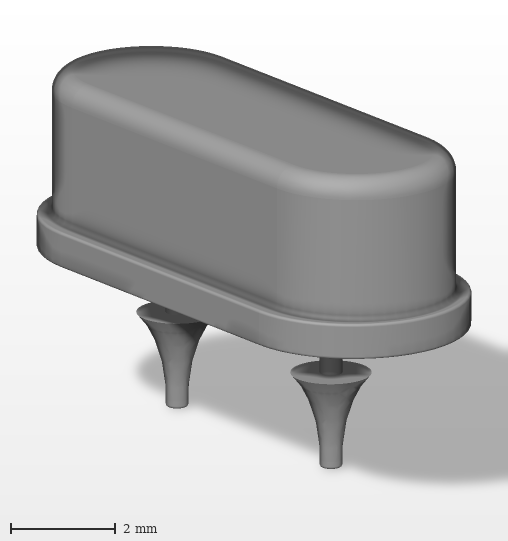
import cadquery as cq

flange_length = 10.8
flange_width = 4.5
flange_height = 0.7
flange_edge_radius = 0.05

can_length = 10.3
can_width = 3.8
can_height = 2.8
can_top_radius = 0.4
can_foot_radius = 0.1

pin_spacing = 4.88
pin_radius = 0.22
pin_length = 3.0
pin_tip_radius = 0.05

flare_top_depth = 1.12
flare_top_radius = 0.78
flare_waist_depth = 1.8
flare_waist_radius = 0.38
flare_bottom_depth = 2.85


def stadium(length, width, height):
    """Upright block with fully rounded ends, standing on the plane Z = 0."""
    return cq.Workplane("XY").slot2D(length, width).extrude(height)


def make_flange():
    """Base plate with slightly rounded top and bottom rims."""
    plate = stadium(flange_length, flange_width, flange_height)
    return plate.faces("<Z or >Z").edges().fillet(flange_edge_radius)


def make_can():
    """Cover with a rounded top rim, resting on the flange."""
    cover = stadium(can_length, can_width, can_height)
    cover = cover.faces(">Z").edges().fillet(can_top_radius)
    return cover.translate((0, 0, flange_height))


def blend_can_foot(body):
    """Concave fillet all round where the can wall meets the flange."""
    margin = can_foot_radius / 2
    half_length = can_length / 2 + margin
    half_width = can_width / 2 + margin
    foot_edges = cq.selectors.BoxSelector(
        (-half_length, -half_width, flange_height - margin),
        (half_length, half_width, flange_height + margin),
        boundingbox=True,
    )
    return body.edges(foot_edges).fillet(can_foot_radius)


def make_pin(x):
    """Round pin with its flare, on a vertical axis at the given X."""
    pin = cq.Workplane("XY").circle(pin_radius).extrude(-pin_length)
    pin = pin.faces("<Z").edges().fillet(pin_tip_radius)

    inward_and_down = (-1, -1)
    straight_down = (0, -1)
    flare = (
        cq.Workplane("XZ")
        .moveTo(0, -flare_top_depth)
        .lineTo(flare_top_radius, -flare_top_depth)
        .spline(
            [(flare_waist_radius, -flare_waist_depth), (pin_radius, -flare_bottom_depth)],
            tangents=[inward_and_down, straight_down],
            includeCurrent=True,
        )
        .lineTo(0, -flare_bottom_depth)
        .close()
        .revolve(360, (0, 0, 0), (0, 1, 0))
    )
    return pin.union(flare).translate((x, 0, 0))


result = blend_can_foot(make_flange().union(make_can()))
for pin_x in (-pin_spacing / 2, pin_spacing / 2):
    result = result.union(make_pin(pin_x))